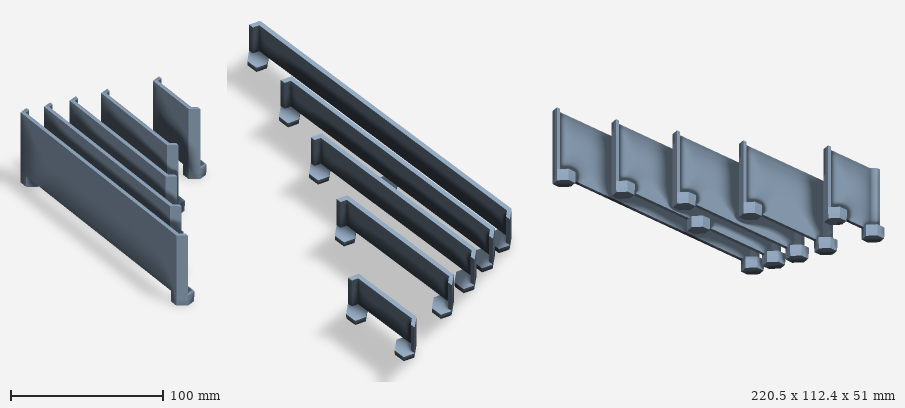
import cadquery as cq
import math

sin_60 = math.sin(math.radians(60))
tan_60 = math.tan(math.radians(60))

peg_corner_width = 15.5
peg_corner_radius = peg_corner_width / 2
peg_apothem = peg_corner_radius * sin_60
peg_height = 7.7
peg_taper_height = 3.7
peg_taper_inset = 0.33
peg_pitch = 41.0

overall_height = 51.0
wall_height = overall_height - peg_height
wall_thickness = 2.9
wall_setback = 0.02

panels = [
    (0.0, (0, 5)),
    (17.5, (0, 2, 4)),
    (36.7, (0, 3)),
    (60.3, (0, 2)),
    (99.0, (0, 1)),
]


def hexagon_points(inset):
    """Corners of a peg section; the inset shrinks the hexagon, but its front side stays in place."""
    corner_x = peg_corner_radius - inset
    back_x = corner_x / 2
    back_y = corner_x * sin_60
    front_x = peg_corner_radius / 2 - inset
    return [
        (-corner_x, 0),
        (-front_x, -peg_apothem),
        (front_x, -peg_apothem),
        (corner_x, 0),
        (back_x, back_y),
        (-back_x, back_y),
    ]


def make_peg(x, y):
    """Hexagonal peg whose lower end narrows slightly on every side but the front one."""
    tip = (
        cq.Workplane("XY", origin=(x, y, 0))
        .polyline(hexagon_points(peg_taper_inset))
        .close()
        .workplane(offset=peg_taper_height)
        .polyline(hexagon_points(0))
        .close()
        .loft(ruled=True)
    )
    body = (
        cq.Workplane("XY", origin=(x, y, peg_taper_height))
        .polyline(hexagon_points(0))
        .close()
        .extrude(peg_height - peg_taper_height)
    )
    return tip.union(body)


def make_wall(last_x, y):
    """Plate with lips that lie flush with the slanted front sides of the two end pegs."""
    front_y = -(peg_apothem - wall_setback)
    front_x = peg_corner_radius + front_y / tan_60
    inner_corner_x = peg_corner_radius - wall_thickness / sin_60
    inner_y = front_y + wall_thickness
    inner_x = inner_corner_x + inner_y / tan_60
    return (
        cq.Workplane("XY", origin=(0, y, peg_height))
        .moveTo(-peg_corner_radius, 0)
        .lineTo(-front_x, front_y)
        .lineTo(last_x + front_x, front_y)
        .lineTo(last_x + peg_corner_radius, 0)
        .lineTo(last_x + inner_corner_x, 0)
        .lineTo(last_x + inner_x, inner_y)
        .lineTo(-inner_x, inner_y)
        .lineTo(-inner_corner_x, 0)
        .close()
        .extrude(wall_height)
    )


def make_panel(y, peg_positions):
    """Wall and its pegs as one solid."""
    panel = make_wall(peg_positions[-1] * peg_pitch, y)
    for position in peg_positions:
        panel = panel.union(make_peg(position * peg_pitch, y))
    return panel


panel_solids = [make_panel(y, peg_positions).val() for y, peg_positions in panels]

result = cq.Compound.makeCompound(panel_solids)